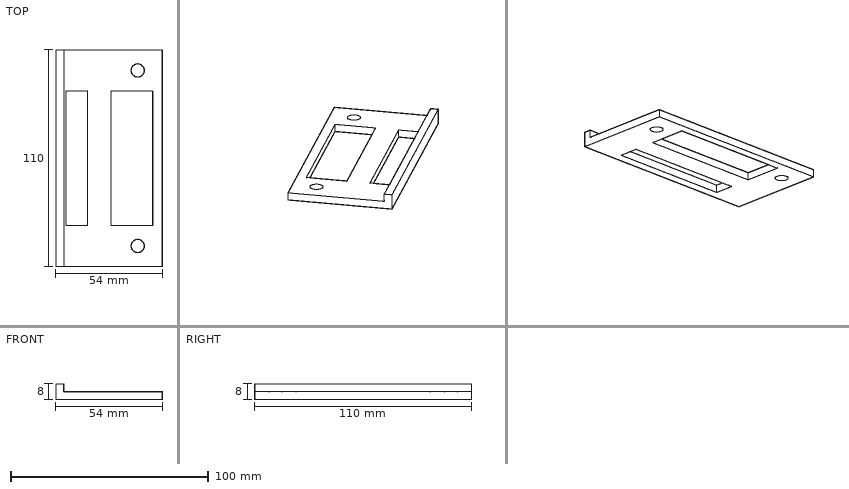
import cadquery as cq

plate_width = 54.0
plate_length = 110.0
plate_thickness = 4.0

lip_width = 4.0
total_height = 8.0

window_length = 68.0
narrow_window_start = 5.25
narrow_window_end = 16.0
wide_window_start = 28.0
wide_window_end = 49.0

hole_diameter = 6.6
hole_x = 41.5
hole_spacing = 89.0

middle_y = plate_length / 2


def make_lipped_plate():
    """L-shaped cross-section running the full length of the part."""
    plate = cq.Workplane("XY").box(plate_width, plate_length, plate_thickness, centered=False)
    lip = cq.Workplane("XY").box(lip_width, plate_length, total_height, centered=False)
    return plate.union(lip)


def make_window(start_x, end_x):
    """Cutter for a rectangular window through the plate."""
    return (
        cq.Workplane("XY")
        .center((start_x + end_x) / 2, middle_y)
        .rect(end_x - start_x, window_length)
        .extrude(plate_thickness)
    )


def make_mounting_holes():
    """Cutters for the pair of round through holes."""
    return (
        cq.Workplane("XY")
        .center(hole_x, middle_y)
        .pushPoints([(0, -hole_spacing / 2), (0, hole_spacing / 2)])
        .circle(hole_diameter / 2)
        .extrude(plate_thickness)
    )


result = (
    make_lipped_plate()
    .cut(make_window(narrow_window_start, narrow_window_end))
    .cut(make_window(wide_window_start, wide_window_end))
    .cut(make_mounting_holes())
)